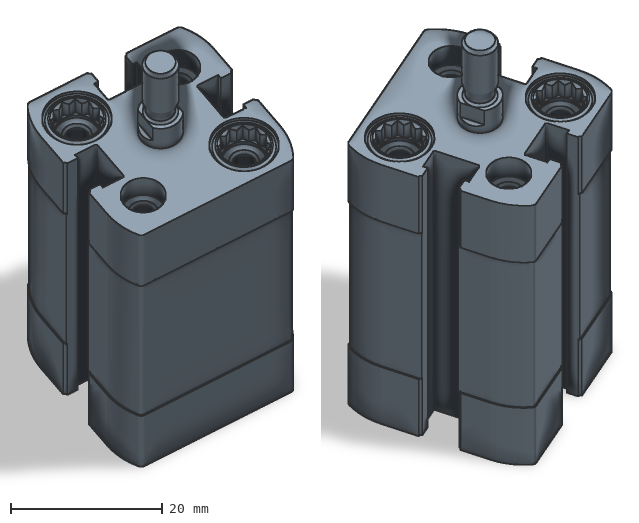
import cadquery as cq
import math


overall_height = 61.9
housing_height = 47.65
cap_height = 10.45
cap_half_width = 13.75
barrel_inset = 0.2
crown_start = 8.0
crown_radius = 10.5
corner_fillet = 0.8

slot_offset = 0.55
slot_depth = 5.45
slot_width = 6.75
slot_corner_fillet = 0.25
mouth_width = 5.4
mouth_depth = 2.05
mouth_rounding = 0.4

bolt_spacing_half = 8.0
counterbore_diameter = 6.0
counterbore_depth = 3.5
thread_diameter = 3.2
thread_entry_diameter = 4.0
groove_diameter = 9.2
groove_depth = 0.5
head_base_diameter = 8.5
head_top_diameter = 7.7
head_recess = 0.1
socket_depth = 3.0
socket_across_flats = 6.05
socket_rim_diameter = 7.2
socket_rim_end_diameter = 6.05
socket_rim_end_depth = 0.85

rod_diameter = 6.0
rod_insertion = cap_height
shoulder_height = 51.75
flat_half_width = 2.4
flat_bottom = 49.15
flat_ledge_drop = 0.3
neck_diameter = 3.95
neck_bottom = 52.1
neck_top = 52.7
neck_base_diameter = 4.7
runout_diameter = 4.0
runout_bottom = 52.85
stud_diameter = 4.8
stud_bottom = 54.2
stud_tip_diameter = 4.0
stud_chamfer_height = 0.55


def cylinder(diameter, bottom, top):
    return cq.Workplane("XY").workplane(offset=bottom).circle(diameter / 2).extrude(top - bottom)


def cone(bottom_diameter, top_diameter, bottom, top):
    solid = cq.Solid.makeCone(bottom_diameter / 2, top_diameter / 2, top - bottom, cq.Vector(0, 0, bottom))
    return cq.Workplane(obj=solid)


def block(inset, bottom, top):
    """Crowned square prism, inset from the outline of the caps."""
    half = cap_half_width - inset
    radius = crown_radius - inset
    arc_centre = half - radius

    def crown_height(x):
        return arc_centre + math.sqrt(radius**2 - (x - crown_start) ** 2)

    corner_y = crown_height(half)
    middle_x = (crown_start + half) / 2
    middle_y = crown_height(middle_x)
    return (
        cq.Workplane("XY")
        .workplane(offset=bottom)
        .moveTo(-crown_start, -half)
        .lineTo(crown_start, -half)
        .threePointArc((middle_x, -middle_y), (half, -corner_y))
        .lineTo(half, corner_y)
        .threePointArc((middle_x, middle_y), (crown_start, half))
        .lineTo(-crown_start, half)
        .threePointArc((-middle_x, middle_y), (-half, corner_y))
        .lineTo(-half, -corner_y)
        .threePointArc((-middle_x, -middle_y), (-crown_start, -half))
        .close()
        .extrude(top - bottom)
        .edges("|Z and (>X or <X)")
        .fillet(corner_fillet - inset)
    )


def slot_cutter(offset):
    """T-slot along the whole housing, open towards -Y."""
    floor_y = slot_depth - cap_half_width
    lip_y = mouth_depth - cap_half_width
    chamber = (
        cq.Workplane("XY")
        .center(offset, (floor_y + lip_y) / 2)
        .rect(slot_width, floor_y - lip_y)
        .extrude(housing_height)
        .edges("|Z and >Y")
        .fillet(slot_corner_fillet)
    )
    mouth = (
        cq.Workplane("XY")
        .center(offset, lip_y - mouth_depth / 2)
        .rect(mouth_width, mouth_depth)
        .extrude(housing_height)
    )
    return chamber.union(mouth)


def mouth_flare(offset, bottom):
    """Rounds both outer corners of a slot mouth over the height of one cap."""
    half = mouth_width / 2
    wide_half = half + mouth_rounding
    outer_y = -cap_half_width
    inner_y = outer_y + mouth_rounding
    return (
        cq.Workplane("XY")
        .workplane(offset=bottom)
        .center(offset, 0)
        .moveTo(-wide_half, outer_y)
        .radiusArc((-half, inner_y), mouth_rounding)
        .lineTo(half, inner_y)
        .radiusArc((wide_half, outer_y), mouth_rounding)
        .close()
        .extrude(cap_height)
    )


def cut_slots(body):
    for angle, offset in [(0, slot_offset), (-90, -slot_offset), (180, slot_offset)]:
        cutter = slot_cutter(offset)
        for cap_bottom in [0, housing_height - cap_height]:
            cutter = cutter.union(mouth_flare(offset, cap_bottom))
        body = body.cut(cutter.rotate((0, 0, 0), (0, 0, 1), angle))
    return body


def bolt_hole():
    """Counterbored hole through the housing with a chamfered thread entry."""
    floor = housing_height - counterbore_depth
    entry_depth = (thread_entry_diameter - thread_diameter) / 2
    return (
        cylinder(thread_diameter, 0, floor)
        .union(cone(thread_diameter, thread_entry_diameter, floor - entry_depth, floor))
        .union(cylinder(counterbore_diameter, floor, housing_height))
    )


def head_groove():
    """Recess that leaves the tapered rim of a bolt head standing just below the top face."""
    bottom = housing_height - groove_depth
    rim = cone(head_base_diameter, head_top_diameter, bottom, housing_height - head_recess)
    return cylinder(groove_diameter, bottom, housing_height).cut(rim)


def bolt_socket():
    """Twelve-point socket, made of two hexagons, with a countersunk rim."""
    bottom = housing_height - socket_depth
    tip_diameter = socket_across_flats / math.cos(math.pi / 6)
    hexagon = cq.Workplane("XY").workplane(offset=bottom).polygon(6, tip_diameter).extrude(socket_depth)
    twelve_point = hexagon.union(hexagon.rotate((0, 0, 0), (0, 0, 1), 30))
    rim = cone(
        socket_rim_end_diameter,
        socket_rim_diameter,
        housing_height - socket_rim_end_depth,
        housing_height - head_recess,
    )
    return twelve_point.union(rim)


def make_housing():
    body = (
        block(0, 0, cap_height)
        .union(block(barrel_inset, cap_height, housing_height - cap_height))
        .union(block(0, housing_height - cap_height, housing_height))
    )
    body = cut_slots(body)
    for x_side in [-1, 1]:
        for y_side in [-1, 1]:
            place = (x_side * bolt_spacing_half, y_side * bolt_spacing_half, 0)
            body = body.cut(bolt_hole().translate(place))
            if x_side == y_side:
                body = body.cut(head_groove().translate(place))
                body = body.cut(bolt_socket().translate(place))
    rod_bore = cylinder(rod_diameter, housing_height - rod_insertion, housing_height)
    return body.cut(rod_bore)


def wrench_flat():
    """Cutter for the flat on the +Y side of the rod."""
    rod_radius = rod_diameter / 2
    return (
        cq.Workplane("YZ")
        .moveTo(flat_half_width, flat_bottom)
        .lineTo(rod_radius, flat_bottom - flat_ledge_drop)
        .lineTo(rod_radius, shoulder_height)
        .lineTo(flat_half_width, shoulder_height)
        .close()
        .extrude(rod_radius, both=True)
    )


def make_rod():
    rod = (
        cq.Workplane("XZ")
        .moveTo(0, housing_height - rod_insertion)
        .lineTo(rod_diameter / 2, housing_height - rod_insertion)
        .lineTo(rod_diameter / 2, shoulder_height)
        .lineTo(neck_base_diameter / 2, shoulder_height)
        .lineTo(neck_diameter / 2, neck_bottom)
        .lineTo(neck_diameter / 2, neck_top)
        .lineTo(runout_diameter / 2, runout_bottom)
        .lineTo(stud_diameter / 2, stud_bottom)
        .lineTo(stud_diameter / 2, overall_height - stud_chamfer_height)
        .lineTo(stud_tip_diameter / 2, overall_height)
        .lineTo(0, overall_height)
        .close()
        .revolve(360, (0, 0, 0), (0, 1, 0))
    )
    flat = wrench_flat()
    return rod.cut(flat).cut(flat.mirror("XZ"))


housing = make_housing()
piston_rod = make_rod()

result = cq.Compound.makeCompound([housing.solids().val(), piston_rod.solids().val()])